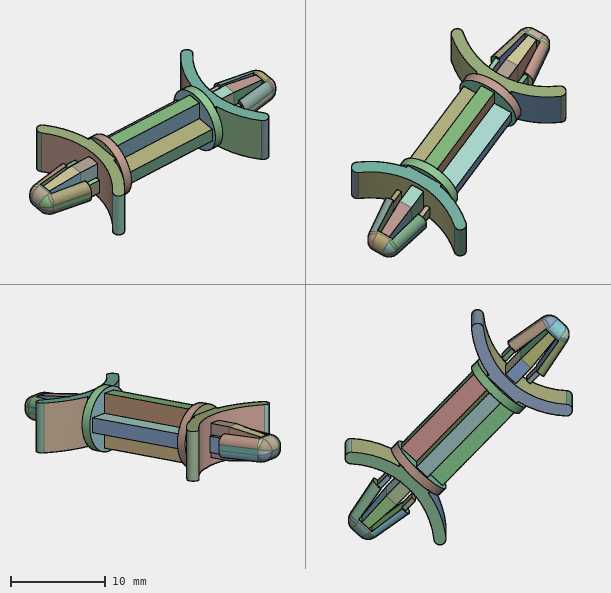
import cadquery as cq
import math

overall_length = 31.83
half_length = overall_length / 2

beam_width = 6.05
web_thickness = 1.64
flange_diameter = 7.1
flange_thickness = 1.0
flange_inner_y = 5.69
flange_outer_y = flange_inner_y + flange_thickness

saddle_span = 14.3
saddle_thickness = 1.3
saddle_height = 5.5
saddle_crown_y = 8.03
saddle_end_y = 10.43
neck_width = 4.3

stem_width = 1.5
stem_height = 3.76
stem_tip_width = 1.04
stem_tip_height = 2.64

barb_base_y = 10.41
barb_base_width = 5.26
head_draft = math.radians(10.6)
head_height = 2.6
head_corner_radius = 0.96
nose_radius = 1.26
edge_search_margin = 0.1
gap_base_width = 3.08
gap_end_width = 1.92
gap_end_y = 14.44

tab_inner_x = gap_base_width / 2
tab_thickness = 0.53
tab_height = 1.8
tab_end_y = 8.87


def box_along_y(width, height, start_y, end_y):
    """Box centred on the Y axis between two Y positions."""
    box = cq.Workplane("XY").box(width, end_y - start_y, height)
    return box.translate((0, (start_y + end_y) / 2, 0))


def trapezoid(start_y, start_width, end_y, end_width, height):
    """Symmetric trapezoid in XY, extruded evenly about Z = 0."""
    outline = [
        (-start_width / 2, start_y),
        (start_width / 2, start_y),
        (end_width / 2, end_y),
        (-end_width / 2, end_y),
    ]
    return cq.Workplane("XY").polyline(outline).close().extrude(height / 2, both=True)


def make_beam():
    flat_web = box_along_y(beam_width, web_thickness, -flange_inner_y, flange_inner_y)
    upright_web = box_along_y(web_thickness, beam_width, -flange_inner_y, flange_inner_y)
    return flat_web.union(upright_web)


def make_flange():
    disc = cq.Workplane("XZ").circle(flange_diameter / 2).extrude(-flange_thickness)
    return disc.translate((0, flange_inner_y, 0))


def make_saddle():
    half_thickness = saddle_thickness / 2
    end_x = saddle_span / 2 - half_thickness
    end_y = saddle_end_y - half_thickness
    sag = end_y - (saddle_crown_y - half_thickness)
    mid_radius = (end_x**2 + sag**2) / (2 * sag)
    inner_radius = mid_radius - half_thickness
    outer_radius = mid_radius + half_thickness
    centre_y = saddle_crown_y + inner_radius
    end_angle = math.asin(end_x / mid_radius)

    def arc_point(radius, angle):
        return (radius * math.sin(angle), centre_y - radius * math.cos(angle))

    def end_cap_point(side):
        x = side * (end_x + half_thickness * math.cos(end_angle))
        return (x, end_y + half_thickness * math.sin(end_angle))

    leaf = (
        cq.Workplane("XY")
        .moveTo(*arc_point(inner_radius, -end_angle))
        .threePointArc(arc_point(inner_radius, 0), arc_point(inner_radius, end_angle))
        .threePointArc(end_cap_point(1), arc_point(outer_radius, end_angle))
        .threePointArc(arc_point(outer_radius, 0), arc_point(outer_radius, -end_angle))
        .threePointArc(end_cap_point(-1), arc_point(inner_radius, -end_angle))
        .close()
        .extrude(saddle_height / 2, both=True)
    )
    neck = box_along_y(neck_width, saddle_height, flange_outer_y, saddle_crown_y - half_thickness)
    return leaf.union(neck)


def make_stem():
    start_y = saddle_crown_y - saddle_thickness / 2
    post = box_along_y(stem_width, stem_height, start_y, barb_base_y)
    taper = (
        cq.Workplane("XZ", origin=(0, barb_base_y, 0))
        .rect(stem_width, stem_height)
        .workplane(offset=barb_base_y - gap_end_y)
        .rect(stem_tip_width, stem_tip_height)
        .loft()
    )
    return post.union(taper)


def make_head():
    nose_width = barb_base_width - 2 * (half_length - barb_base_y) * math.tan(head_draft)
    head = trapezoid(barb_base_y, barb_base_width, half_length, nose_width, head_height)
    head = head.faces(">Y").edges().fillet(nose_radius)
    drafted_edges = cq.selectors.BoxSelector(
        (-barb_base_width, barb_base_y + edge_search_margin, -head_height),
        (barb_base_width, half_length - nose_radius, head_height),
    )
    head = head.edges(drafted_edges).fillet(head_corner_radius)
    gap = trapezoid(barb_base_y, gap_base_width, gap_end_y, gap_end_width, head_height)
    return head.cut(gap)


def make_tab(side):
    tab = box_along_y(tab_thickness, tab_height, tab_end_y, barb_base_y)
    return tab.translate((side * (tab_inner_x + tab_thickness / 2), 0, 0))


def make_end():
    end = make_flange().union(make_saddle()).union(make_stem()).union(make_head())
    for side in (-1, 1):
        end = end.union(make_tab(side))
    return end


end = make_end()
result = make_beam().union(end).union(end.mirror("XZ"))